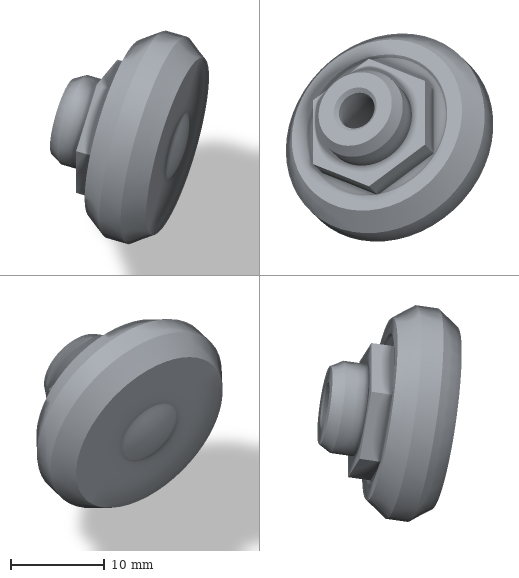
import cadquery as cq
import math

overall_length = 13.68
hex_start = 3.8
wheel_start = 6.0
wheel_width = 7.0
wheel_end = wheel_start + wheel_width

wheel_diameter = 23.15
side_face_diameter = 19.8
rim_width = 2.38
bevel_width = (wheel_width - rim_width) / 2
recess_mouth_diameter = 16.38
recess_floor_diameter = 15.87
recess_depth = 0.25

dome_diameter = 7.6
dome_height = overall_length - wheel_end

eccentricity = 0.6
shaft_diameter = 10.0
shaft_chamfer_length = 1.3
shaft_chamfer_depth = 0.75
hex_across_flats = 13.0
hex_across_corners = hex_across_flats / math.cos(math.pi / 6)

hole_diameter = 4.15
hole_mouth_diameter = 5.0
hole_chamfer = (hole_mouth_diameter - hole_diameter) / 2
hole_depth = 10.0
drill_point_angle = 118.0
drill_point_length = hole_diameter / 2 / math.tan(math.radians(drill_point_angle / 2))


def revolve_about_x(profile):
    """Revolve a closed profile of (x, radius) points about the X axis."""
    return profile.close().revolve(360, (0, 0, 0), (1, 0, 0))


def make_wheel():
    """Bevelled wheel with a shallow tapered recess in its shaft side."""
    recess_floor = wheel_start + recess_depth
    profile = cq.Workplane("XY").polyline([
        (recess_floor, 0),
        (recess_floor, recess_floor_diameter / 2),
        (wheel_start, recess_mouth_diameter / 2),
        (wheel_start, side_face_diameter / 2),
        (wheel_start + bevel_width, wheel_diameter / 2),
        (wheel_end - bevel_width, wheel_diameter / 2),
        (wheel_end, side_face_diameter / 2),
        (wheel_end, 0),
    ])
    return revolve_about_x(profile)


def make_dome():
    """Spherical cap with a short cylindrical root inside the wheel."""
    dome_radius = dome_diameter / 2
    sphere_radius = (dome_radius**2 + dome_height**2) / (2 * dome_height)
    sphere_centre = overall_length - sphere_radius
    half_angle = math.asin(dome_radius / sphere_radius) / 2
    arc_middle = (
        sphere_centre + sphere_radius * math.cos(half_angle),
        sphere_radius * math.sin(half_angle),
    )
    root_start = wheel_end - dome_height
    profile = (
        cq.Workplane("XY")
        .moveTo(root_start, 0)
        .lineTo(root_start, dome_radius)
        .lineTo(wheel_end, dome_radius)
        .threePointArc(arc_middle, (overall_length, 0))
    )
    return revolve_about_x(profile)


def make_shaft():
    """Chamfered shaft with a hexagon, both reaching the recess floor."""
    shaft_end = wheel_start + recess_depth
    shaft_radius = shaft_diameter / 2
    profile = cq.Workplane("XY").polyline([
        (0, 0),
        (0, shaft_radius - shaft_chamfer_depth),
        (shaft_chamfer_length, shaft_radius),
        (shaft_end, shaft_radius),
        (shaft_end, 0),
    ])
    hexagon = (
        cq.Workplane("YZ", origin=(hex_start, 0, 0))
        .transformed(rotate=(0, 0, 90))
        .polygon(6, hex_across_corners)
        .extrude(shaft_end - hex_start)
    )
    return revolve_about_x(profile).union(hexagon)


def make_hole():
    """Countersunk blind hole with a conical bottom."""
    profile = cq.Workplane("XY").polyline([
        (0, 0),
        (0, hole_mouth_diameter / 2),
        (hole_chamfer, hole_diameter / 2),
        (hole_depth, hole_diameter / 2),
        (hole_depth + drill_point_length, 0),
    ])
    return revolve_about_x(profile)


shaft_offset = (0, 0, -eccentricity)
result = (
    make_wheel()
    .union(make_dome())
    .union(make_shaft().translate(shaft_offset))
    .cut(make_hole().translate(shaft_offset))
)